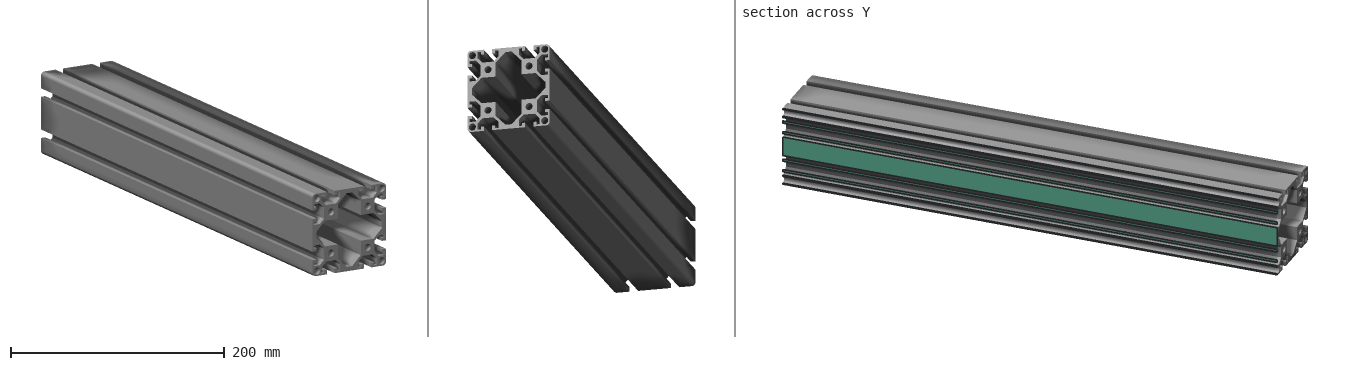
import cadquery as cq

length = 500.0
side = 80.0
half_side = side / 2
corner_radius = 3.5

core_offset = side / 4
core_half = 7.5
core_hole_diameter = 6.8

groove_half_opening = 4.1
groove_half_width = 10.0
lip_thickness = 1.8
hook_depth = 4.5
hook_width = 2.9

groove_web_shift = 2.1
cavity_web_shift = 1.2

cavity_wall = 4.2
corner_hole_inset = 4.8
corner_hole_diameter = 6.8


def prism(points):
    """Extrude a closed YZ outline along the whole profile."""
    return cq.Workplane("YZ").polyline(points).close().extrude(length)


def groove():
    """T-groove in the +Z face, over the core on the +Y side."""
    hook_back = groove_half_opening + hook_width
    hook_end = core_offset - hook_depth
    lip_underside = core_offset - lip_thickness

    half_outline = [
        (groove_half_opening, core_offset),
        (groove_half_opening, hook_end),
        (hook_back, hook_end),
        (hook_back, lip_underside),
        (groove_half_width, lip_underside),
        (groove_half_width, groove_half_width + groove_web_shift),
        (core_half - groove_web_shift, core_half),
    ]
    other_half = [(-y, z) for y, z in reversed(half_outline)]
    return prism([(core_offset + y, core_offset + z) for y, z in half_outline + other_half])


def cavity():
    """Central cross-shaped cavity whose four arms narrow along the webs towards the faces."""
    arm_end = half_side - cavity_wall
    arm_half_width = core_offset - core_half
    shoulder = core_offset + core_half - cavity_web_shift
    end_half_width = arm_half_width - (arm_end - shoulder)
    quarter = [
        (end_half_width, arm_end),
        (arm_half_width, shoulder),
        (arm_half_width, arm_half_width),
        (shoulder, arm_half_width),
        (arm_end, end_half_width),
    ]
    points = []
    for _ in range(4):
        points += quarter
        quarter = [(z, -y) for y, z in quarter]
    return prism(points)


def four_holes(offset, diameter):
    """Four round holes along the profile, each the same distance from both middle planes."""
    return (
        cq.Workplane("YZ")
        .rarray(2 * offset, 2 * offset, 2, 2)
        .circle(diameter / 2)
        .extrude(length)
    )


profile = cq.Workplane("YZ").rect(side, side).extrude(length).edges("|X").fillet(corner_radius)

right_groove = groove()
left_groove = right_groove.mirror("XZ")
for quarter_turn in range(4):
    for cutter in (right_groove, left_groove):
        profile = profile.cut(cutter.rotate((0, 0, 0), (1, 0, 0), 90 * quarter_turn))

core_holes = four_holes(core_offset, core_hole_diameter)
corner_holes = four_holes(half_side - corner_hole_inset, corner_hole_diameter)

result = profile.cut(cavity()).cut(core_holes).cut(corner_holes)